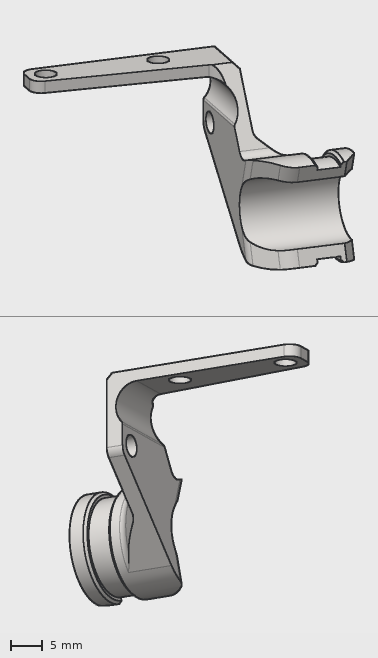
import cadquery as cq
import math

round_radius = 2.0
plate_thickness = 2.85
top_height = 21.1

clip_x = 22.25
clip_radius = 9.0
bore_radius = 6.0
clip_length = 16.8
tip_angle = math.radians(70)
tip_front_chamfer = 5.05
tip_side_radius = 4.0
tip_back_chamfer = 2.0

groove_radius = 8.0
groove_start = 9.9
groove_end = 13.85
groove_chamfer = 0.5

corner_height = 7.95
top_width = 8.25
back_chamfer = 1.0
arm_length = 31.05
arm_thickness = 2.0
arm_tip_width = 6.05

hole_radius = 1.75
hole_x = 2.95
plate_hole_z = 9.47
arm_hole_ys = (-8.75, -27.8)

scallop_radius = 3.8
scallop_depth = 1.2
scallop_y = scallop_depth - scallop_radius
scallop_z = top_height - arm_thickness - scallop_radius
scallop_lip_radius = 0.57

neck_end = 6.95

margin = 2.4
setback = round_radius * math.tan(math.pi / 8)
neck_back = neck_end + setback
half_setback = setback * math.cos(math.pi / 4)
round_sine = round_radius * math.sin(math.pi / 8)
round_cosine = round_radius * math.cos(math.pi / 8)


def clip_point(radius, angle):
    """Front-plane point at a radius and angle around the clip axis."""
    return (clip_x + radius * math.cos(angle), radius * math.sin(angle))


def extrude_back(sketch, start, end):
    """Extrude an XZ sketch, drawn by a function, between two Y positions."""
    plane = cq.Workplane("XZ", origin=(0, start, 0))
    return sketch(plane).extrude(start - end)


def outline(plane):
    """Plate outline: its right edge points at the clip axis, its lower edge is tangent to the clip."""
    edge_angle = math.atan2(top_height, top_width - clip_x)
    fillet_distance = clip_radius + round_radius
    fillet_angle = edge_angle - math.asin(round_radius / fillet_distance)
    fillet_x, fillet_z = clip_point(fillet_distance, fillet_angle)
    along_edge = math.sqrt(fillet_distance**2 - round_radius**2)
    mid_angle = (edge_angle + math.pi / 2 + fillet_angle + math.pi) / 2
    fillet_mid = (
        fillet_x + round_radius * math.cos(mid_angle),
        fillet_z + round_radius * math.sin(mid_angle),
    )
    corner_angle = math.atan2(corner_height, -clip_x)
    tangent_angle = corner_angle + math.acos(clip_radius / math.hypot(clip_x, corner_height))
    return (
        plane.moveTo(0, top_height)
        .lineTo(top_width, top_height)
        .lineTo(*clip_point(along_edge, edge_angle))
        .threePointArc(fillet_mid, clip_point(clip_radius, fillet_angle))
        .threePointArc((clip_x + clip_radius, 0), clip_point(clip_radius, tangent_angle))
        .lineTo(0, corner_height)
        .close()
    )


def make_prism(length):
    """Plate outline from the front face to a given depth, with its left corner rounded."""
    prism = extrude_back(outline, 0, length)
    corner = cq.selectors.NearestToPointSelector((0, length / 2, corner_height))
    return prism.edges(corner).fillet(round_radius)


def make_plate():
    plate = make_prism(plate_thickness)
    return plate.faces(">Z").edges(">Y").chamfer(back_chamfer)


def make_clip():
    """Conical neck and grooved clip as one solid of revolution, limited to the plate outline."""
    base_radius = clip_radius + neck_end - plate_thickness
    plate_round_center = (base_radius + setback, plate_thickness + round_radius)
    clip_round_center = (clip_radius + round_radius, neck_back)
    profile = (
        cq.Workplane("XY")
        .moveTo(0, plate_thickness)
        .lineTo(base_radius + setback, plate_thickness)
        .threePointArc(
            (plate_round_center[0] - round_sine, plate_round_center[1] - round_cosine),
            (base_radius - half_setback, plate_thickness + half_setback),
        )
        .lineTo(clip_radius + half_setback, neck_end - half_setback)
        .threePointArc(
            (clip_round_center[0] - round_cosine, clip_round_center[1] - round_sine),
            (clip_radius, neck_back),
        )
        .lineTo(clip_radius, groove_start - groove_chamfer)
        .lineTo(clip_radius - groove_chamfer, groove_start)
        .lineTo(groove_radius, groove_start)
        .lineTo(groove_radius, groove_end)
        .lineTo(clip_radius - groove_chamfer, groove_end)
        .lineTo(clip_radius, groove_end + groove_chamfer)
        .lineTo(clip_radius, clip_length)
        .lineTo(0, clip_length)
        .close()
    )
    revolved = profile.revolve(360, (0, 0, 0), (0, 1, 0)).translate((clip_x, 0, 0))
    return revolved.intersect(make_prism(clip_length))


def make_arm():
    """Flat tapered arm with a rounded tip."""
    return (
        cq.Workplane("XY", origin=(0, 0, top_height))
        .polyline([(0, 0), (0, -arm_length), (arm_tip_width, -arm_length), (top_width, 0)])
        .close()
        .extrude(-arm_thickness)
        .edges("|Z and <Y")
        .fillet(round_radius)
    )


def make_arm_root():
    """Block above the scallop, rounded into the plate beside the arm and cut to the plate outline."""
    edge_angle = math.atan2(arm_length, top_width - arm_tip_width)
    tangent = round_radius / math.tan(edge_angle / 2)
    edge_x = top_width - tangent * math.cos(edge_angle)
    edge_y = -tangent * math.sin(edge_angle)
    round_center = (top_width + tangent, -round_radius)
    round_mid = (
        round_center[0] - round_radius * math.sin(edge_angle / 2),
        round_center[1] + round_radius * math.cos(edge_angle / 2),
    )
    root = (
        cq.Workplane("XY", origin=(0, 0, top_height))
        .lineTo(0, scallop_y)
        .lineTo(top_width + scallop_y * (top_width - arm_tip_width) / arm_length, scallop_y)
        .lineTo(edge_x, edge_y)
        .threePointArc(round_mid, (top_width + tangent, 0))
        .close()
        .extrude(scallop_z - top_height)
    )
    return root.intersect(extrude_back(outline, scallop_y, 0))


def make_scallop():
    """Cylinder along X, touching the underside of the arm."""
    return (
        cq.Workplane("YZ", origin=(-margin, 0, 0))
        .center(scallop_y, scallop_z)
        .circle(scallop_radius)
        .extrude(clip_x)
    )


def make_opening():
    """Wedge between the two clip tips."""
    reach = 2 * clip_radius
    points = [(clip_x, 0), clip_point(reach, -tip_angle), (clip_x + reach, 0), clip_point(reach, tip_angle)]
    return extrude_back(lambda plane: plane.polyline(points).close(), -margin, clip_length + margin)


def make_tip_cutters():
    """Front and back bevels for the upper tip, swept along its radial end; only the front is rounded."""
    cosine = math.cos(tip_angle)
    sine = math.sin(tip_angle)
    plane = cq.Plane(origin=(clip_x, 0, 0), xDir=(sine, 0, -cosine), normal=(cosine, 0, sine))
    front_start = -tip_front_chamfer - setback
    side_scale = tip_side_radius / round_radius
    side_setback = side_scale * half_setback
    side_end = tip_front_chamfer + side_scale * setback
    side_mid = (side_scale * round_cosine - tip_side_radius, side_end - side_scale * round_sine)
    front = (
        cq.Workplane(plane)
        .moveTo(front_start, -margin)
        .lineTo(front_start, 0)
        .threePointArc(
            (front_start + round_sine, round_radius - round_cosine),
            (half_setback - tip_front_chamfer, half_setback),
        )
        .lineTo(-side_setback, tip_front_chamfer - side_setback)
        .threePointArc(side_mid, (0, side_end))
        .lineTo(margin, side_end)
        .lineTo(margin, -margin)
        .close()
        .extrude(clip_radius + margin)
    )
    back = (
        cq.Workplane(plane)
        .moveTo(-tip_back_chamfer, clip_length)
        .lineTo(0, clip_length - tip_back_chamfer)
        .lineTo(margin, clip_length - tip_back_chamfer)
        .lineTo(margin, clip_length + margin)
        .lineTo(-tip_back_chamfer, clip_length + margin)
        .close()
        .extrude(clip_radius + margin)
    )
    return front, back


bracket = make_plate().union(make_arm_root()).cut(make_scallop())
lip_z = scallop_z - math.sqrt(scallop_radius**2 - scallop_y**2)
lip = cq.selectors.NearestToPointSelector((top_width / 2, 0, lip_z))
bracket = bracket.edges(lip).fillet(scallop_lip_radius)
bracket = bracket.union(make_arm())

bracket = bracket.union(make_clip())
bore = extrude_back(lambda plane: plane.center(clip_x, 0).circle(bore_radius), -margin, clip_length + margin)
bracket = bracket.cut(bore).cut(make_opening())
for cutter in make_tip_cutters():
    bracket = bracket.cut(cutter).cut(cutter.mirror("XY"))

plate_hole = extrude_back(
    lambda plane: plane.center(hole_x, plate_hole_z).circle(hole_radius), -margin, neck_end
)
arm_holes = (
    cq.Workplane("XY", origin=(0, 0, top_height))
    .pushPoints([(hole_x, y) for y in arm_hole_ys])
    .circle(hole_radius)
    .extrude(-arm_thickness)
)
result = bracket.cut(plate_hole).cut(arm_holes)